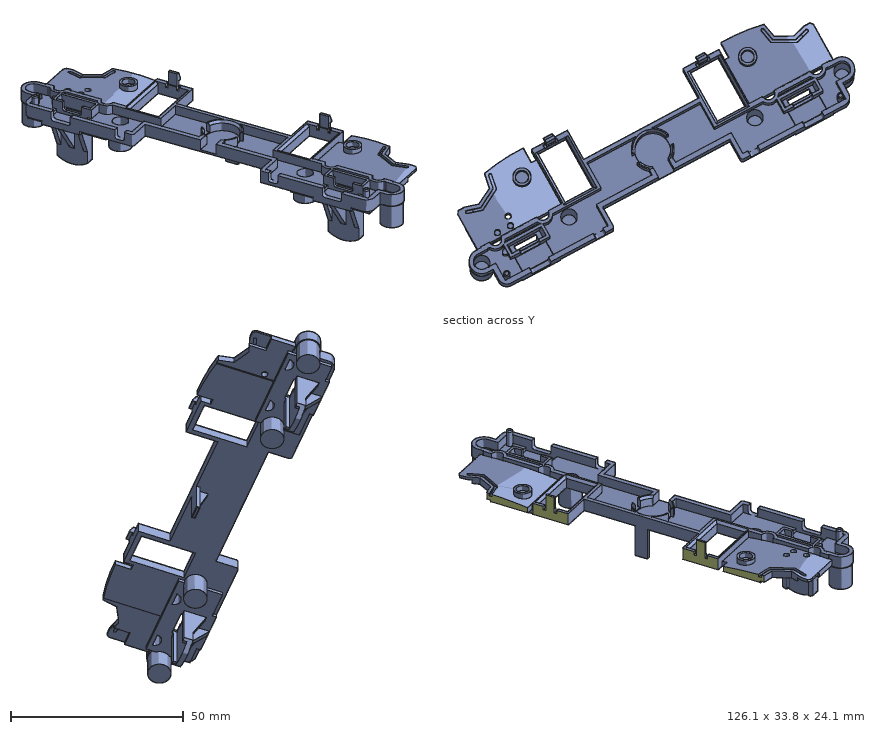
import cadquery as cq


rim_z = 3.9
floor_z = 1.0
pad_z = -1.1
pad_end_x = -56.8
pad_extension = 1.3
front_pad_width = 12.6
front_wall = 1.5
side_wall = 1.3
overlap = 0.1

total_length = 126.1
end_x = -57.6
inner_end_x = -21.0
bar_front_y = 7.1
bar_back_y = 22.1
bar_wall_step = 0.4
back_y = 13.6
back_wall_y = 12.2
front_corner_radius = 2.6
inner_corner_radius = 0.8

socket_radius = 3.7
pillar_radius = 3.4
pillar_end_x = socket_radius - total_length / 2
pillar_inner_x = -30.7
pillar_y = 9.7
pillar_bottom_z = -7.3
pillar_bore_top_radius = 2.4
pillar_bore_end_radius = 2.1
pillar_bore_bottom_z = -6.0

peg_x = -55.0
peg_y = 2.6
peg_radius = 0.95
peg_top_z = 6.2
peg_chamfer = 0.4
drain_x = -25.5
drain_width = 3.2

frame_left_x = -30.9
frame_right_x = -19.0
frame_back_y = 31.9
window_left_x = -29.8
window_right_x = -20.4
window_back_y = 30.4
window_bevel_width = 0.8
latch_x = -25.1
latch_width = 2.9
latch_thickness = 1.1
latch_hook = 0.9
latch_hook_z = 5.3
latch_hook_edge = 0.5
latch_tip_setback = 0.3
latch_top_z = 8.1
latch_slit = 0.8
latch_slit_depth = 1.0
latch_slit_bottom_z = 2.8

wing_left_x = -58.7
wing_bottom_z = 0.5
wing_tip_bottom_z = 1.6
wing_tip_inner_x = -54.2
wing_tip_front_y = 20.8
wing_end_z = 2.4
wing_crest_x = -46.7
wing_crest_z = 2.8
wing_inner_z = 1.6
wing_section_length = 37.8
wing_notch_x = -32.5
wing_notch_y = 28.9
boss_x = -37.2
boss_y = 26.1
boss_radius = 2.6
boss_bore_radius = 1.9
boss_floor_z = 2.3
groove_width = 0.9
groove_depth = 0.8
groove_path = [(-56.0, 24.8), (-51.8, 23.6), (-45.7, 27.0), (-44.9, 31.2)]

tongue_x = -45.0
tongue_width = 10.2
tongue_front_y = 6.8
tongue_back_y = 9.6
tongue_corner_z = -14.4
tongue_bottom_z = -16.0
flange_y = 8.5
flange_bottom_z = -14.9
rib_bottom_z = -10.6
center_rib_width = 1.6
side_rib_width = 1.4
side_rib_front_y = 2.6
slot_width = 7.2
slot_back_y = 10.0
pocket_width = 13.0
pocket_front_y = 6.7
pocket_back_y = 11.4
pocket_top_z = rim_z
pocket_wall = 0.9
pocket_mouth_width = 11.4
pocket_shelf_width = 10.0
pocket_shelf_z = 0.0
notch_width = 6.3
notch_fillet = 0.9
scallop_offset = 7.8
scallop_radius = 1.9
scallop_wall = 1.0

ring_y = 15.3
ring_outer_radius = 6.2
ring_inner_radius = 5.2
ring_bevel_z = 3.2
ring_bevel = 0.6
ring_gap = 3.0
disc_z = 0.6
gate_width = 5.2
gate_post_width = 1.3
gate_post_back_y = 10.2
hook_width = 4.2
hook_thickness = 1.1
hook_bottom_z = -10.2
hook_tip_chamfer = 0.3
hook_rib_width = 1.4
hook_rib_length = 3.0
hook_rib_bottom_z = -8.2

small_radius = 0.9
through_hole = (-46.2, 18.0)
blind_holes = [(-46.9, 15.3), (-51.2, 15.3)]
blind_hole_floor_z = 1.5
post = (-52.0, 9.1)
post_top_z = 3.2


def box(x0, x1, y0, y1, z0, z1):
    """Axis-aligned block between two opposite corners."""
    return cq.Workplane("XY").box(x1 - x0, y1 - y0, z1 - z0, centered=False).translate((x0, y0, z0))


def centered_box(x, width, y0, y1, z0, z1):
    """Block centred on x."""
    return box(x - width / 2, x + width / 2, y0, y1, z0, z1)


def cylinder(x, y, radius, z0, z1):
    return cq.Workplane("XY", origin=(x, y, z0)).circle(radius).extrude(z1 - z0)


def side_profile(points, x, width):
    """Extrude a (Y, Z) outline across width, centred on x."""
    return cq.Workplane("YZ", origin=(x - width / 2, 0, 0)).polyline(points).close().extrude(width)


def tray_body():
    end = box(end_x, inner_end_x, 0, back_y, 0, rim_z)
    end = end.edges("|Z and <Y and <X").fillet(front_corner_radius)
    end = end.edges("|Z and <Y and >X").fillet(inner_corner_radius)
    body = end.union(box(inner_end_x - side_wall, 0, bar_front_y, back_y, 0, rim_z))
    body = body.union(box(frame_right_x - overlap, 0, back_y - overlap, bar_back_y, 0, rim_z))
    body = body.union(cylinder(pillar_end_x, pillar_y, socket_radius, 0, rim_z))
    return body.union(
        box(pillar_end_x, end_x + side_wall, pillar_y - socket_radius, pillar_y + socket_radius, 0, rim_z)
    )


def tray_hollow():
    top = rim_z + overlap
    hollow = box(end_x + front_wall, inner_end_x - side_wall, front_wall, back_wall_y, floor_z, top)
    bar_inner_y = bar_front_y + front_wall
    hollow = hollow.union(box(inner_end_x - 2 * side_wall, 0, bar_inner_y, back_wall_y, floor_z, top))
    hollow = hollow.union(
        box(frame_right_x + bar_wall_step, 0, bar_inner_y, bar_back_y - side_wall, floor_z, top)
    )
    r = pillar_bore_top_radius
    hollow = hollow.union(cylinder(pillar_end_x, pillar_y, r, floor_z, top))
    return hollow.union(box(pillar_end_x, end_x + 2 * front_wall, pillar_y - r, pillar_y + r, floor_z, top))


def frame_body():
    frame = box(frame_left_x, frame_right_x, back_wall_y, frame_back_y, 0, rim_z)
    window = box(window_left_x, window_right_x, back_y, window_back_y, -overlap, rim_z + overlap)
    return frame.cut(window)


def window_bevel():
    """Sloped lead-in along the front and both sides of the window top."""
    width = window_right_x - window_left_x
    length = window_back_y - back_y
    center_x = (window_left_x + window_right_x) / 2
    return (
        cq.Workplane("XY", origin=(center_x, window_back_y, rim_z))
        .center(0, -(length + window_bevel_width) / 2)
        .rect(width + 2 * window_bevel_width, length + window_bevel_width)
        .workplane(offset=-window_bevel_width)
        .center(0, window_bevel_width / 2)
        .rect(width, length)
        .loft(ruled=True)
    )


def latch():
    inner_y = frame_back_y - latch_thickness
    profile = [
        (inner_y, 0),
        (frame_back_y, 0),
        (frame_back_y, latch_hook_z),
        (frame_back_y + latch_hook, latch_hook_z),
        (frame_back_y + latch_hook, latch_hook_z + latch_hook_edge),
        (frame_back_y - latch_tip_setback, latch_top_z),
        (inner_y, latch_top_z),
    ]
    return side_profile(profile, latch_x, latch_width)


def wing_outline():
    return (
        cq.Workplane("XY")
        .moveTo(wing_left_x, back_wall_y)
        .lineTo(wing_left_x, 25.6)
        .lineTo(-58, 26.5)
        .lineTo(-56.0, 26.5)
        .lineTo(-52.0, 25.2)
        .lineTo(-46.9, 27.9)
        .lineTo(-46.0, 32.4)
        .threePointArc((-39.7, 33.4), (wing_notch_x, 33.8))
        .lineTo(wing_notch_x, wing_notch_y)
        .lineTo(frame_left_x + overlap, wing_notch_y)
        .lineTo(frame_left_x + overlap, back_wall_y)
        .close()
    )


def wing_section():
    """Gently crowned top, stepped underside."""
    return (
        cq.Workplane("XZ")
        .moveTo(wing_left_x, wing_bottom_z)
        .lineTo(wing_left_x, wing_end_z)
        .threePointArc((wing_crest_x, wing_crest_z), (frame_left_x + overlap, wing_inner_z))
        .lineTo(frame_left_x + overlap, 0)
        .lineTo(tongue_x, 0)
        .lineTo(tongue_x, wing_bottom_z)
        .close()
        .extrude(-wing_section_length)
    )


def wing():
    body = wing_outline().extrude(rim_z).intersect(wing_section())
    body = body.cut(
        box(wing_left_x, wing_tip_inner_x, wing_tip_front_y, wing_notch_y, 0, wing_tip_bottom_z)
    )
    body = body.union(cylinder(boss_x, boss_y, boss_radius, wing_bottom_z, rim_z))
    body = body.cut(cylinder(boss_x, boss_y, boss_bore_radius, boss_floor_z, rim_z + overlap))
    groove = cq.Workplane("XY").polyline(groove_path).offset2D(groove_width / 2).extrude(rim_z)
    lowered_top = wing_section().translate((0, 0, -groove_depth))
    return body.cut(groove.cut(lowered_top))


def pillar(x):
    return cylinder(x, pillar_y, pillar_radius, pillar_bottom_z, floor_z)


def pillar_bore(x):
    """Tapered blind screw hole."""
    return (
        cq.Workplane("XY", origin=(x, pillar_y, floor_z + overlap))
        .circle(pillar_bore_top_radius)
        .workplane(offset=pillar_bore_bottom_z - floor_z - overlap)
        .circle(pillar_bore_end_radius)
        .loft()
    )


def tongue():
    left = tongue_x - tongue_width / 2
    right = tongue_x + tongue_width / 2
    plate = (
        cq.Workplane("XZ", origin=(0, tongue_front_y, 0))
        .moveTo(left, 0)
        .lineTo(left, tongue_corner_z)
        .threePointArc((tongue_x, tongue_bottom_z), (right, tongue_corner_z))
        .lineTo(right, 0)
        .close()
        .extrude(tongue_front_y - tongue_back_y)
    )
    plate = plate.cut(
        box(left, right, flange_y, tongue_back_y + overlap, tongue_bottom_z - overlap, flange_bottom_z)
    )

    def rib(x, width, front_y):
        profile = [
            (front_y, pad_z),
            (flange_y, pad_z),
            (flange_y, rib_bottom_z),
            (tongue_front_y, rib_bottom_z),
        ]
        return side_profile(profile, x, width)

    plate = plate.union(rib(tongue_x, center_rib_width, 0))
    for side in (-1, 1):
        rib_x = tongue_x + side * (tongue_width - side_rib_width) / 2
        plate = plate.union(rib(rib_x, side_rib_width, side_rib_front_y))
    return plate


def pads():
    """Thickened underside of the tray around the tongue."""
    wide = box(pad_end_x, pillar_inner_x, side_wall, back_y + pad_extension, pad_z, overlap)
    return wide.union(centered_box(tongue_x, front_pad_width, 0, front_wall, pad_z, overlap))


def pocket_body():
    return centered_box(tongue_x, pocket_width, pocket_front_y, pocket_back_y, 0, pocket_top_z)


def pocket_hollow():
    """Pocket with flared ends, the slot through it and the recess in front of it."""
    top = pocket_top_z + overlap
    cavity_front_y = pocket_front_y + pocket_wall
    cavity_back_y = pocket_back_y - pocket_wall
    hollow = (
        cq.Workplane("XZ", origin=(tongue_x, cavity_front_y, 0))
        .moveTo(-pocket_shelf_width / 2, pocket_shelf_z)
        .lineTo(-pocket_mouth_width / 2, top)
        .lineTo(pocket_mouth_width / 2, top)
        .lineTo(pocket_shelf_width / 2, pocket_shelf_z)
        .close()
        .extrude(cavity_front_y - cavity_back_y)
    )
    slot = centered_box(tongue_x, slot_width, flange_y, slot_back_y, tongue_bottom_z - overlap, top)
    recess = centered_box(tongue_x, tongue_width, front_wall, pocket_front_y, pocket_shelf_z, top)
    return hollow.union(slot).union(recess)


def wall_notch(x, width, y0, y1):
    """Round-bottomed notch down to the tray floor."""
    notch = centered_box(x, width, y0, y1, floor_z, rim_z + overlap)
    return notch.edges("|Y and <Z").fillet(notch_fillet)


def scallop_walls():
    walls = cq.Workplane("XY")
    for side in (-1, 1):
        x = tongue_x + side * scallop_offset
        walls = walls.union(cylinder(x, back_y, scallop_radius + scallop_wall, 0, rim_z))
    return walls.intersect(box(end_x, 0, 0, back_y, 0, rim_z))


def scallops():
    cuts = cq.Workplane("XY")
    for side in (-1, 1):
        x = tongue_x + side * scallop_offset
        cuts = cuts.union(cylinder(x, back_y, scallop_radius, pad_z - overlap, rim_z + overlap))
    return cuts.intersect(box(end_x, 0, 0, back_y, pad_z - overlap, rim_z + overlap))


def corner_peg():
    peg = cylinder(peg_x, peg_y, peg_radius, floor_z, peg_top_z)
    return peg.faces(">Z").chamfer(peg_chamfer)


def left_half():
    half = tray_body().union(frame_body()).cut(tray_hollow())
    half = half.cut(window_bevel()).union(latch()).union(wing()).union(pads())
    for side in (-1, 1):
        x = latch_x + side * (latch_width + latch_slit) / 2
        half = half.cut(
            centered_box(x, latch_slit, window_back_y - overlap, window_back_y + latch_slit_depth,
                         latch_slit_bottom_z, rim_z + overlap)
        )
    half = half.union(scallop_walls()).union(pocket_body()).union(tongue())
    for x in (pillar_end_x, pillar_inner_x):
        half = half.union(pillar(x)).cut(pillar_bore(x))
    half = half.cut(pocket_hollow()).cut(scallops())
    half = half.cut(wall_notch(tongue_x, notch_width, -overlap, front_wall + overlap))
    pocket_wall_back_y = pocket_front_y + pocket_wall + overlap
    half = half.cut(wall_notch(tongue_x, notch_width, pocket_front_y - overlap, pocket_wall_back_y))
    half = half.cut(wall_notch(drain_x, drain_width, -overlap, front_wall + overlap))
    return half.union(corner_peg())


def center_ring():
    """Ring of two arcs that opens to the front between two gate posts."""
    ring = cylinder(0, ring_y, ring_outer_radius, disc_z, rim_z)
    diameter = 2 * ring_outer_radius
    ring = ring.intersect(centered_box(0, diameter, bar_front_y, bar_back_y, 0, rim_z))
    gap_front_y = ring_y - ring_gap / 2
    ring = ring.cut(centered_box(0, diameter, gap_front_y, gap_front_y + ring_gap, floor_z, rim_z))
    posts_width = gate_width + 2 * gate_post_width
    return ring.union(centered_box(0, posts_width, bar_front_y, gate_post_back_y, disc_z, rim_z))


def ring_bore():
    """Bore of the ring with its conical lead-in."""
    bore = cylinder(0, ring_y, ring_inner_radius, disc_z, rim_z + overlap)
    cone = (
        cq.Workplane("XY", origin=(0, ring_y, ring_bevel_z))
        .circle(ring_inner_radius)
        .workplane(offset=rim_z - ring_bevel_z)
        .circle(ring_inner_radius + ring_bevel)
        .loft()
    )
    return bore.union(cone)


def center_hook():
    back = bar_back_y
    front = back - hook_thickness
    plate = centered_box(0, hook_width, front, back, hook_bottom_z, overlap)
    plate = plate.faces("<Z").edges().chamfer(hook_tip_chamfer)
    rib_profile = [(front - hook_rib_length, 0), (front, 0), (front, hook_rib_bottom_z)]
    return plate.union(side_profile(rib_profile, 0, hook_rib_width))


left = left_half()
result = left.union(left.mirror("YZ"))
result = result.union(center_ring())
result = result.cut(ring_bore())
result = result.cut(centered_box(0, gate_width, -overlap, ring_y, disc_z, rim_z + overlap))
result = result.union(center_hook())

result = result.cut(cylinder(*through_hole, small_radius, -overlap, rim_z))
for hole in blind_holes:
    result = result.cut(cylinder(*hole, small_radius, blind_hole_floor_z, rim_z))
result = result.union(cylinder(*post, small_radius, 0, post_top_z))